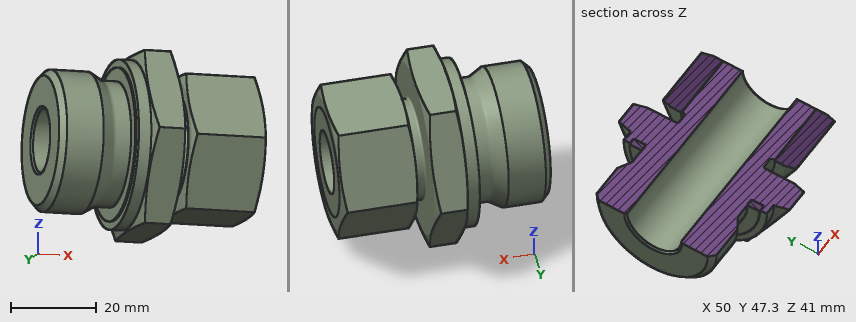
import cadquery as cq
import math

LENGTH = 50.0

TAPER_START = 10.4
SEAL_FRONT = 17.65
COLLAR_FRONT = 18.0
HEX_FRONT = 21.0
HEX_BACK = 29.0
NUT_FRONT = 32.0

THREAD_RADIUS = 16.65
NECK_RADIUS = 14.75
COLLAR_RADIUS = 19.9
STUB_RADIUS = 13.0
RELIEF_RADIUS = 11.9
BORE_RADIUS = 7.5

THREAD_CHAMFER = 1.5
BORE_CHAMFER = 0.5
TAPER_ANGLE = math.radians(30)
NECK_BLEND_RADIUS = 1.75
RELIEF_FILLET = 0.5
RELIEF_FLAT_END = 31.65

BODY_HEX_FLATS = 41.0
NUT_HEX_FLATS = 32.0
HEX_CHAMFER_ANGLE = math.radians(15)
HEX_FACE_INSET = 0.1

SEAL_RADIUS = 18.0
SEAL_SEAT_DEPTH = 1.5
SEAL_BACK = COLLAR_FRONT + SEAL_SEAT_DEPTH


def cylinder(radius, start, end):
    """Solid cylinder on the X axis between two stations."""
    return cq.Workplane("YZ").workplane(offset=start).circle(radius).extrude(end - start)


def revolve_about_x(profile):
    """Turn a closed XY profile (Y is the radius) about the X axis."""
    return profile.close().revolve(360, (0, 0, 0), (1, 0, 0))


def chamfered_hexagon(flats, start, end):
    """Hexagonal prism with corners toward +Y and -Y, both ends turned to a cone."""
    corner_radius = flats / math.sqrt(3)
    face_radius = flats / 2 - HEX_FACE_INSET
    chamfer_length = (corner_radius - face_radius) * math.tan(HEX_CHAMFER_ANGLE)
    prism = (
        cq.Workplane("YZ")
        .workplane(offset=start)
        .polygon(6, 2 * corner_radius)
        .extrude(end - start)
    )
    envelope = revolve_about_x(
        cq.Workplane("XY")
        .moveTo(start, 0)
        .lineTo(start, face_radius)
        .lineTo(start + chamfer_length, corner_radius)
        .lineTo(end - chamfer_length, corner_radius)
        .lineTo(end, face_radius)
        .lineTo(end, 0)
    )
    return prism.intersect(envelope)


def threaded_end():
    """Chamfered thread, tapering and blending into the neck in front of the collar."""
    blend_rise = NECK_BLEND_RADIUS * (1 - math.cos(TAPER_ANGLE))
    blend_start_radius = NECK_RADIUS + blend_rise
    taper_length = (THREAD_RADIUS - blend_start_radius) / math.tan(TAPER_ANGLE)
    blend_start = TAPER_START + taper_length
    blend_end = blend_start + NECK_BLEND_RADIUS * math.sin(TAPER_ANGLE)
    half_angle = TAPER_ANGLE / 2
    blend_middle = (
        blend_end - NECK_BLEND_RADIUS * math.sin(half_angle),
        NECK_RADIUS + NECK_BLEND_RADIUS * (1 - math.cos(half_angle)),
    )
    return revolve_about_x(
        cq.Workplane("XY")
        .moveTo(0, 0)
        .lineTo(0, THREAD_RADIUS - THREAD_CHAMFER)
        .lineTo(THREAD_CHAMFER, THREAD_RADIUS)
        .lineTo(TAPER_START, THREAD_RADIUS)
        .lineTo(blend_start, blend_start_radius)
        .threePointArc(blend_middle, (blend_end, NECK_RADIUS))
        .lineTo(COLLAR_FRONT, NECK_RADIUS)
        .lineTo(COLLAR_FRONT, 0)
    )


def stub_end():
    """Relief groove with filleted ends, followed by the stub that fills the nut."""
    fillet_top = RELIEF_RADIUS + RELIEF_FILLET
    shoulder = RELIEF_FLAT_END + RELIEF_FILLET
    return revolve_about_x(
        cq.Workplane("XY")
        .moveTo(HEX_BACK, 0)
        .lineTo(HEX_BACK, fillet_top)
        .radiusArc((HEX_BACK + RELIEF_FILLET, RELIEF_RADIUS), -RELIEF_FILLET)
        .lineTo(RELIEF_FLAT_END, RELIEF_RADIUS)
        .radiusArc((shoulder, fillet_top), -RELIEF_FILLET)
        .lineTo(shoulder, STUB_RADIUS)
        .lineTo(LENGTH, STUB_RADIUS)
        .lineTo(LENGTH, 0)
    )


def bore_cutter():
    """Through bore with a chamfered mouth at the threaded end."""
    return revolve_about_x(
        cq.Workplane("XY")
        .moveTo(0, 0)
        .lineTo(0, BORE_RADIUS + BORE_CHAMFER)
        .lineTo(BORE_CHAMFER, BORE_RADIUS)
        .lineTo(LENGTH, BORE_RADIUS)
        .lineTo(LENGTH, 0)
    )


def make_seal():
    """Flat ring around the neck, standing slightly proud of the collar."""
    return cylinder(SEAL_RADIUS, SEAL_FRONT, SEAL_BACK).cut(
        cylinder(NECK_RADIUS, SEAL_FRONT, SEAL_BACK)
    )


def make_body():
    """Threaded end, collar, hexagon and stub in one piece, with the seal seat cut in."""
    return (
        threaded_end()
        .union(cylinder(COLLAR_RADIUS, COLLAR_FRONT, HEX_FRONT))
        .union(chamfered_hexagon(BODY_HEX_FLATS, HEX_FRONT, HEX_BACK))
        .union(stub_end())
        .cut(bore_cutter())
        .cut(make_seal())
    )


def make_nut():
    """Hexagon nut with a plain hole that fits the stub."""
    return chamfered_hexagon(NUT_HEX_FLATS, NUT_FRONT, LENGTH).cut(
        cylinder(STUB_RADIUS, NUT_FRONT, LENGTH)
    )


body = make_body()
seal = make_seal()
nut = make_nut()

result = cq.Compound.makeCompound([body.solids().val(), seal.solids().val(), nut.solids().val()])